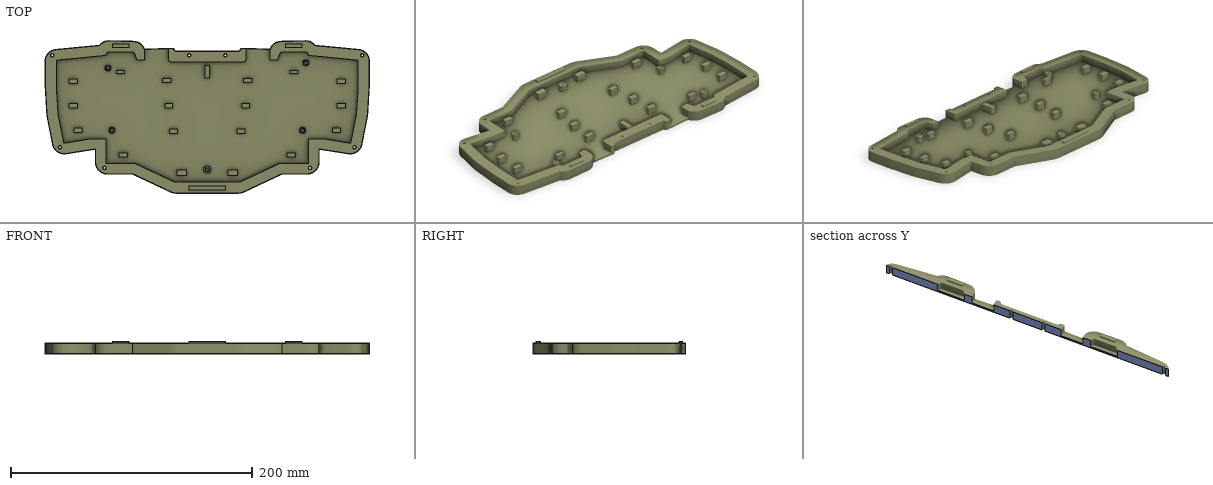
import cadquery as cq
import math

floor_top = 2.0
wall_top = 9.0
overall_height = 10.5
block_top = 8.3
post_top = 7.8

outer_radius = 10.0
shoulder_radius = 9.7
inner_radius = 1.0
bar_radius = 2.0
bar_heel_radius = 2.1
bay_radius = 2.7

half_width = 134.4
overall_depth = 126.5
half_depth = overall_depth / 2
side_wall = 9.5
wall_inner_x = half_width - side_wall
bar_rear_y = 54.5
bar_front_y = 45.7
bar_end_x = 32.0
opening_end_x = 52.0
opening_rear_y = 56.2
opening_front_y = 47.3
bay_rear_y = 54.0
step_outer_x = 92.7
step_inner_x = 83.8
step_rear_y = -27.0
recess_step_y = -18.3
step_outer_y = -47.3
step_inner_y = -38.7

step_facets = 6
step_facet_angles = [math.radians(180 + 90 * index / step_facets) for index in range(step_facets + 1)]
step_corner = [
    (
        -step_outer_x + outer_radius * (1 + math.cos(angle)),
        step_outer_y + outer_radius * (1 + math.sin(angle)),
        0,
    )
    for angle in step_facet_angles
]

outer_corners = [
    (-26.5, bar_rear_y, 0),
    (-28.0, 57.0, bar_heel_radius),
    (-opening_end_x, opening_rear_y, 0),
    (-54.5, 62.5, shoulder_radius),
    (-85.7, half_depth, shoulder_radius),
    (-89.2, 59.5, 0),
    (-half_width, 55.0, outer_radius),
    (-half_width, 25.3, 0),
    (-134.0, 23.0, 0),
    (-133.0, 3.8, 0),
    (-132.5, -0.5, 0),
    (-126.3, -32.0, outer_radius),
    (-94.3, step_rear_y, 0),
    (-step_outer_x, step_rear_y, 0),
    *step_corner,
    (-61.8, step_outer_y, 0),
    (-30.4, -62.0, 0),
    (-28.0, -63.0, 0),
    (-25.3, -half_depth, 0),
]

recess_corners = [
    (-bar_end_x, bar_front_y, bar_radius),
    (-bar_end_x, half_depth, 0),
    (-opening_end_x, half_depth, 0),
    (-opening_end_x, opening_front_y, 0),
    (-58.3, opening_front_y, 0),
    (-60.7, bay_rear_y, bay_radius),
    (-82.5, bay_rear_y, inner_radius),
    (-84.0, 51.0, 0),
    (-wall_inner_x, 47.0, inner_radius),
    (-wall_inner_x, 23.6, 0),
    (-123.5, 2.5, 0),
    (-118.8, -21.8, inner_radius),
    (-97.8, recess_step_y, 0),
    (-step_inner_x, recess_step_y, 0),
    (-step_inner_x, step_inner_y, 0),
    (-59.5, step_inner_y, 0),
    (-27.1, -53.7, 0),
]

hole_diameter = 2.5
hole_places = [(128.5, 51.0), (15.0, 51.0), (122.0, -25.0), (85.2, -42.2)]

post_bore = 3.0
side_post = 5.0
middle_post = 6.0
posts = [
    (-82.2, 40.5, side_post),
    (81.7, 45.0, side_post),
    (-79.0, -11.0, side_post),
    (79.0, -11.0, side_post),
    (0, -43.5, middle_post),
]

side_blocks = [
    (111.0, 29.5, 6.7, 3.5),
    (111.0, 9.5, 6.7, 3.5),
    (107.0, -11.0, 6.5, 3.5),
    (71.7, 37.4, 6.5, 2.7),
    (33.5, 30.4, 7.3, 3.5),
    (32.0, 9.5, 6.5, 3.5),
    (28.0, -11.8, 6.5, 3.5),
    (69.5, -31.5, 7.3, 3.5),
    (21.2, -46.2, 8.0, 4.5),
]
middle_block = (0, 37.5, 4.0, 10.2)

rear_ridge = (71.7, 59.0, 13.7, 2.7)
front_ridge = (0, -58.8, 30.4, 3.5)


def both_halves(corners):
    """Close a left-half outline with its mirror image about the YZ plane."""
    return corners + [(-x, y, radius) for x, y, radius in reversed(corners)]


def prism(corners, bottom, top):
    """Upright solid whose plan has the given corners, each rounded by a tangent arc of its radius."""
    outline = None
    for index, (x, y, radius) in enumerate(corners):
        corner = cq.Vector(x, y)
        before = (cq.Vector(*corners[index - 1][:2]) - corner).normalized()
        after = (cq.Vector(*corners[(index + 1) % len(corners)][:2]) - corner).normalized()
        half_angle = before.getAngle(after) / 2
        tangent = radius / math.tan(half_angle)
        start = corner + before * tangent
        if outline is None:
            outline = cq.Workplane("XY").workplane(offset=bottom).moveTo(start.x, start.y)
        else:
            outline = outline.lineTo(start.x, start.y)
        if radius > 0:
            to_arc = radius / math.sin(half_angle) - radius
            middle = corner + (before + after).normalized() * to_arc
            end = corner + after * tangent
            outline = outline.threePointArc((middle.x, middle.y), (end.x, end.y))
    return outline.close().extrude(top - bottom)


def block(x, y, length, width, bottom, top):
    """Upright rectangular block centred on x, y."""
    return cq.Workplane("XY").rect(length, width).extrude(top - bottom).translate((x, y, bottom))


def cylinder(x, y, diameter, bottom, top):
    """Upright cylinder centred on x, y."""
    return cq.Workplane("XY").circle(diameter / 2).extrude(top - bottom).translate((x, y, bottom))


tray = prism(both_halves(outer_corners), 0, wall_top)
tray = tray.cut(prism(both_halves(recess_corners), floor_top, overall_height))

for x, y in hole_places:
    for side in (-1, 1):
        tray = tray.cut(cylinder(side * x, y, hole_diameter, 0, wall_top))

tray = tray.union(block(*middle_block, 0, block_top))
for x, y, length, width in side_blocks:
    for side in (-1, 1):
        tray = tray.union(block(side * x, y, length, width, 0, block_top))

for x, y, diameter in posts:
    tray = tray.union(cylinder(x, y, diameter, 0, post_top))
    tray = tray.cut(cylinder(x, y, post_bore, floor_top, post_top))

tray = tray.union(block(*front_ridge, 0, overall_height))
ridge_x, ridge_y, ridge_length, ridge_width = rear_ridge
for side in (-1, 1):
    tray = tray.union(block(side * ridge_x, ridge_y, ridge_length, ridge_width, 0, overall_height))

result = tray